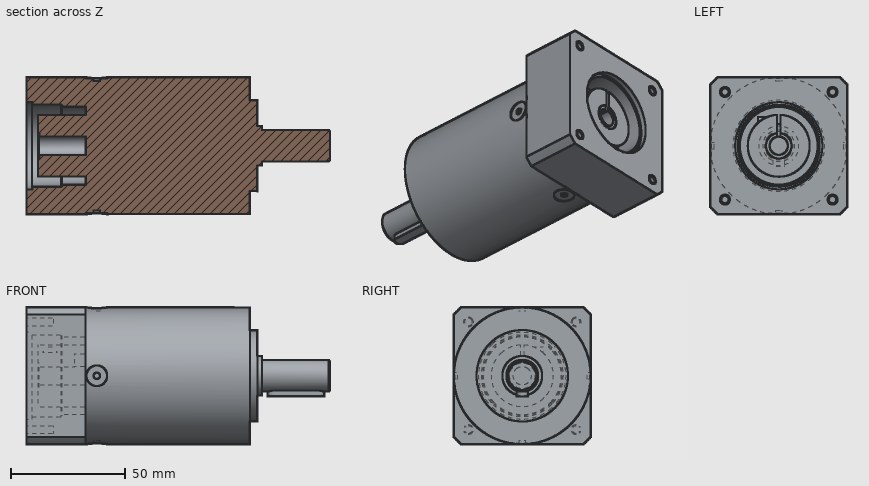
import cadquery as cq

total_length = 133.0
flange_length = 26.0
body_end = 97.9
pilot_length = 3.2
collar_length = 2.1

flange_width = 60.0
corner_diameter = 80.3
mount_hole_spacing = 47.1
mount_hole_diameter = 3.3
mount_hole_depth = 12.0
mount_counterbore_diameter = 4.3
mount_counterbore_depth = 0.3

body_diameter = 60.0
pilot_diameter = 40.0
collar_diameter = 17.4
shaft_diameter = 14.0
shaft_chamfer = 0.8

key_start = 105.5
key_length = 25.0
key_width = 5.0
key_reach = 9.0

recess_diameter = 38.2
recess_depth = 2.5
clearance_diameter = 35.9
middle_step_start = 15.3
middle_step_diameter = 34.8
rear_step_start = 15.7
rear_diameter = 34.0
pocket_depth = flange_length

hub_diameter = 27.1
hub_face = 5.0
hub_bore_diameter = 8.0
hub_counterbore_diameter = 11.2
hub_counterbore_depth = 0.5
slit_width = 1.5
slit_length = 16.0

screw_height = 9.5
screw_position = 10.4
screw_head_diameter = 6.4
screw_head_end = 9.0

plug_position = 30.9
plug_seat_diameter = 9.0
plug_seat_depth = 0.5
plug_hole_diameter = 2.8
plug_hole_depth = 1.6


def disc(start, length, diameter):
    """Cylinder on the gearbox axis, from start towards +X."""
    return cq.Workplane("YZ", origin=(start, 0, 0)).circle(diameter / 2).extrude(length)


def make_flange():
    """Square flange with its corners turned to a circle and four shallowly counterbored holes."""
    flange = cq.Workplane("YZ").rect(flange_width, flange_width).extrude(flange_length)
    flange = flange.intersect(disc(0, flange_length, corner_diameter))
    hole_centers = flange.faces("<X").workplane().rect(
        mount_hole_spacing, mount_hole_spacing, forConstruction=True
    ).vertices()
    return hole_centers.cboreHole(
        mount_hole_diameter, mount_counterbore_diameter, mount_counterbore_depth, mount_hole_depth
    )


def make_output_side():
    pilot_end = body_end + pilot_length
    collar_end = pilot_end + collar_length
    body = disc(flange_length, body_end - flange_length, body_diameter)
    pilot = disc(body_end, pilot_length, pilot_diameter)
    collar = disc(pilot_end, collar_length, collar_diameter)
    shaft = disc(collar_end, total_length - collar_end, shaft_diameter)
    shaft = shaft.faces(">X").chamfer(shaft_chamfer)
    return body.union(pilot).union(collar).union(shaft)


def make_key():
    """Round-ended key on the underside of the shaft."""
    key_center = key_start + key_length / 2
    key = cq.Workplane("XY", origin=(key_center, 0, -key_reach))
    return key.slot2D(key_length, key_width).extrude(key_reach)


def make_motor_pocket():
    recess = disc(0, recess_depth, recess_diameter)
    clearance = disc(0, middle_step_start, clearance_diameter)
    step = disc(0, rear_step_start, middle_step_diameter)
    rear = disc(0, pocket_depth, rear_diameter)
    return recess.union(clearance).union(step).union(rear)


def slit_cut(length, bottom):
    """Radial slot in the top of the hub, cut from its front face."""
    top = hub_diameter / 2
    slit = cq.Workplane("XY", origin=(hub_face, 0, bottom))
    return slit.box(length, slit_width, top - bottom, centered=(False, True, False))


def make_clamp_hub():
    hub_length = pocket_depth - hub_face
    hub = disc(hub_face, hub_length, hub_diameter)
    head_length = screw_head_end - slit_width / 2
    screw_plane = cq.Workplane("XZ", origin=(screw_position, screw_head_end, screw_height))
    hub = hub.union(screw_plane.circle(screw_head_diameter / 2).extrude(head_length))

    hub = hub.cut(slit_cut(hub_length, screw_height)).cut(slit_cut(slit_length, 0))
    bore = disc(hub_face, hub_length, hub_bore_diameter)
    counterbore = disc(hub_face, hub_counterbore_depth, hub_counterbore_diameter)
    return hub.cut(bore).cut(counterbore)


def make_plug_recesses():
    """Flat seats with a small hole, one on each side of the body."""
    surface = body_diameter / 2
    top = cq.Workplane("XY", origin=(plug_position, 0, surface))
    recess = top.circle(plug_seat_diameter / 2).extrude(-plug_seat_depth)
    recess = recess.union(top.circle(plug_hole_diameter / 2).extrude(-plug_hole_depth))
    recesses = recess
    for angle in (90, 180, 270):
        recesses = recesses.union(recess.rotate((0, 0, 0), (1, 0, 0), angle))
    return recesses


result = make_flange().union(make_output_side()).union(make_key())
result = result.cut(make_motor_pocket()).union(make_clamp_hub())
result = result.cut(make_plug_recesses())